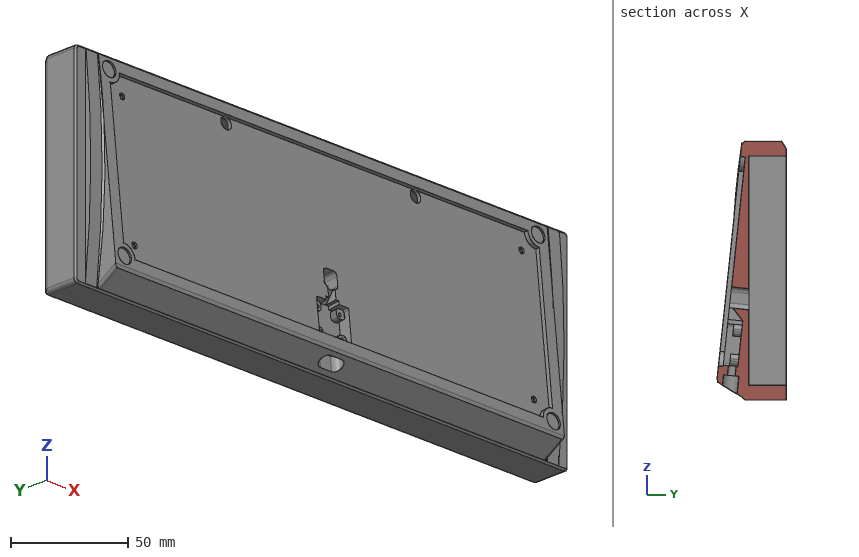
import cadquery as cq
import math


length = 295.7
height = 110.3
tray_depth = 18.5
corner_radius = 2.0
top_bevel_height = 3.3
top_bevel_depth = 2.0
side_bevel_width = 0.45
side_bevel_depth = 1.5
front_chamfer = 1.0

cavity_length = 286.8
cavity_height = 97.5
cavity_depth = 16.0

total_depth = 29.5
tilt = 6.0
foot_half_length = 134.5
foot_top = height / 2 - front_chamfer
foot_crest = -45.8
foot_lip = -47.5
foot_bottom = -54.0
lip_setback = 0.3
lip_depth = total_depth - lip_setback
foot_side_radius = 1.5

bulge_half_length = 142.0
bulge_depth = 22.0
root_width = 0.5
root_rise = 1.2

panel_half_length = 128.5
panel_top = 48.8
panel_bottom = -40.8
panel_depth = 2.0
corner_pad_radius = 6.2
rubber_foot_diameter = 8.0
rubber_foot_depth = 1.0

vent_diameter = 6.2
vent_x = 56.8
vent_y = 45.8
screw_diameter = 2.0
screw_head_diameter = 3.0
screw_head_depth = 1.0
screw_x = 119.8
screw_top = 39.3
screw_bottom = -32.2
screw_depth = 4.5

pocket_width = 19.2
pocket_top = -22.5
pocket_bottom = -40.2
board_depth = 6.2
pocket_depth = panel_depth + board_depth
notch_width = 7.7
notch_top = -20.7
pocket_corner_radius = 1.0
boss_size = 5.0
boss_corner_radius = 2.0
boss_height = 3.5
boss_hole_diameter = 1.57
boss_hole_inset = 3.0

cable_width = 8.0
cable_top = -6.8
cable_bottom = -15.7
cable_radius = 2.0
neck_width = 4.5
ramp_crest_drop = 1.5
ramp_crest_depth = panel_depth + ramp_crest_drop

socket_width = 9.0
socket_thickness = 3.3
plug_width = 13.0
plug_thickness = 6.5
plug_recess_end = -44.5
plug_axis_depth = 6.0

slope = math.tan(math.radians(tilt))
face_middle_y = -total_depth - foot_crest * slope
face_normal = (0, -math.cos(math.radians(tilt)), math.sin(math.radians(tilt)))
along_normal = cq.selectors.ParallelDirSelector(cq.Vector(face_normal))
face_plane = cq.Plane(origin=(0, face_middle_y, 0), xDir=(1, 0, 0), normal=face_normal)


def face_y(z):
    """Y of the tilted face at height z."""
    return face_middle_y + z * slope


def on_face(depth=0.0):
    """Workplane parallel to the tilted face, sunk below it by depth."""
    return cq.Workplane(face_plane).workplane(offset=-depth)


def box_on_face(half_width, bottom, top, depth):
    """Block that reaches from the tilted face down to depth."""
    return on_face().center(0, (top + bottom) / 2).rect(2 * half_width, top - bottom).extrude(-depth)


def back_bevel(plane, half_size, width, depth, run):
    """Wedge along one back edge: width is taken off the outer face, depth off the back."""
    return (
        plane.polyline([(0, half_size), (0, half_size - width), (-depth, half_size)])
        .close()
        .extrude(run, both=True)
    )


def make_tray():
    tray = cq.Workplane("XY").box(length, tray_depth, height).translate((0, -tray_depth / 2, 0))
    tray = tray.edges("|Y").fillet(corner_radius)
    tray = tray.faces("<Y").chamfer(front_chamfer)
    top_bevel = back_bevel(cq.Workplane("YZ"), height / 2, top_bevel_height, top_bevel_depth, length)
    side_bevel = back_bevel(cq.Workplane("YX"), length / 2, side_bevel_width, side_bevel_depth, height)
    return tray.cut(top_bevel).cut(side_bevel).cut(side_bevel.mirror("YZ"))


def make_foot():
    profile = [
        (-cavity_depth, foot_top),
        (face_y(foot_top), foot_top),
        (-total_depth, foot_crest),
        (-lip_depth, foot_lip),
        (-tray_depth, foot_bottom),
        (-cavity_depth, foot_bottom),
    ]
    foot = cq.Workplane("YZ").polyline(profile).close().extrude(foot_half_length, both=True)
    underside = cq.Vector(0, lip_depth - tray_depth, foot_bottom - foot_lip)
    return foot.edges(cq.selectors.ParallelDirSelector(underside)).fillet(foot_side_radius)


def bulge_outline(plane, rise):
    """Shallow arched section from the top to the bottom of the foot."""
    return (
        plane.moveTo(-cavity_depth, foot_top)
        .lineTo(face_y(foot_top), foot_top)
        .threePointArc((-bulge_depth - rise, 0), (-tray_depth, foot_bottom))
        .lineTo(-cavity_depth, foot_bottom)
        .close()
    )


def make_flange():
    """Left flange: the bulge, and the sloping strip where the foot rises from it."""
    root_start = foot_half_length + root_width
    bulge = bulge_outline(cq.Workplane("YZ", origin=(-bulge_half_length, 0, 0)), 0)
    bulge = bulge.extrude(bulge_half_length - foot_half_length)
    root = bulge_outline(cq.Workplane("YZ", origin=(-root_start, 0, 0)), 0)
    root = bulge_outline(root.workplane(offset=root_width), root_rise).loft(ruled=True, combine=True)
    return bulge.union(root)


def make_panel():
    panel = box_on_face(panel_half_length, panel_bottom, panel_top, panel_depth)
    pads = on_face().pushPoints(panel_corners).circle(corner_pad_radius).extrude(-panel_depth)
    return panel.cut(pads)


def pocket_corners(inset):
    """Points set in from the four corners of the pocket by inset."""
    x = pocket_width / 2 - inset
    return [(side * x, y) for side in (-1, 1) for y in (pocket_top - inset, pocket_bottom + inset)]


def make_pocket():
    pocket = box_on_face(pocket_width / 2, pocket_bottom, pocket_top, pocket_depth)
    pocket = pocket.edges(along_normal).fillet(pocket_corner_radius)
    notch = box_on_face(notch_width / 2, pocket_top, notch_top, pocket_depth)
    floor = on_face(pocket_depth)
    bosses = floor.pushPoints(pocket_corners(boss_size / 2)).rect(boss_size, boss_size).extrude(boss_height)
    bosses = bosses.edges(along_normal).fillet(boss_corner_radius)
    holes = floor.pushPoints(pocket_corners(boss_hole_inset))
    holes = holes.circle(boss_hole_diameter / 2).extrude(boss_height)
    return pocket.union(notch).cut(bosses).union(holes)


def make_cable_passage():
    opening = box_on_face(cable_width / 2, cable_bottom, cable_top, total_depth)
    opening = opening.edges(along_normal).fillet(cable_radius)
    ramp_plane = cq.Plane(
        origin=(-neck_width / 2, face_middle_y, 0), xDir=face_plane.yDir.toTuple(), normal=(1, 0, 0)
    )
    ramp_profile = [
        (cable_bottom, 0),
        (cable_bottom, -ramp_crest_depth),
        (notch_top, -pocket_depth),
        (notch_top, 0),
    ]
    ramp = cq.Workplane(ramp_plane).polyline(ramp_profile).close().extrude(neck_width)
    return opening.union(ramp)


def pill_tunnel(width, thickness, start):
    """Pill-shaped tunnel along the tilted face, from start out through the lower side."""
    plane = cq.Plane(
        origin=face_plane.toWorldCoords((0, start, -plug_axis_depth)).toTuple(),
        xDir=(1, 0, 0),
        normal=(face_plane.yDir * -1).toTuple(),
    )
    return cq.Workplane(plane).slot2D(width, thickness).extrude(height / 2)


def make_socket():
    socket = pill_tunnel(socket_width, socket_thickness, pocket_bottom + boss_size)
    return socket.union(pill_tunnel(plug_width, plug_thickness, plug_recess_end))


def round_holes(points, diameter, depth, start_depth=0.0):
    """Round holes square to the tilted face, beginning start_depth below it."""
    return on_face(start_depth).pushPoints(points).circle(diameter / 2).extrude(-depth)


panel_corners = [(x, y) for x in (-panel_half_length, panel_half_length) for y in (panel_bottom, panel_top)]
screw_points = [(x, y) for x in (-screw_x, screw_x) for y in (screw_bottom, screw_top)]
vent_points = [(-vent_x, vent_y), (vent_x, vent_y)]

flange = make_flange()
result = make_tray().union(make_foot()).union(flange).union(flange.mirror("YZ"))

cavity = cq.Workplane("XZ").rect(cavity_length, cavity_height).extrude(cavity_depth)
result = result.cut(cavity)

result = result.cut(make_panel())
result = result.cut(round_holes(panel_corners, rubber_foot_diameter, rubber_foot_depth))
result = result.cut(round_holes(vent_points, vent_diameter, tray_depth))
result = result.cut(round_holes(screw_points, screw_head_diameter, screw_head_depth, panel_depth))
result = result.cut(round_holes(screw_points, screw_diameter, screw_depth, panel_depth))
result = result.cut(make_pocket()).cut(make_cable_passage()).cut(make_socket())